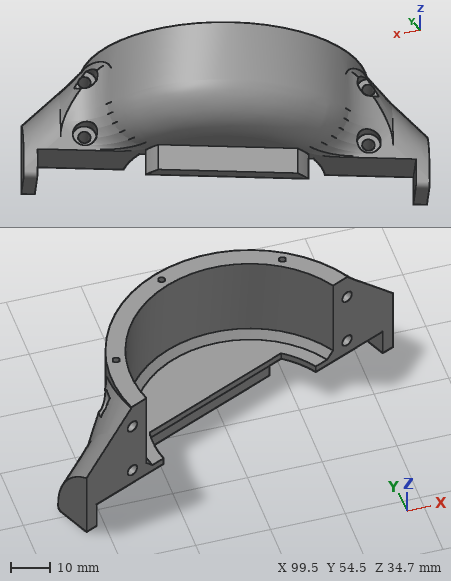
import cadquery as cq
import math

TURN = 24.0

BOWL_R = 37.0
CAVITY_R = 31.9
BOWL_HEIGHT = 27.0
FLOOR = 2.0
CAVITY_CHAMFER = 2.0
BOWL_ROUND = 10.8
CUT_V = 4.0

OPENING_R = 26.1
OPENING_V = CUT_V + 9.5
RIB_R = 26.5
RIB_V = CUT_V + 12.3
RIB_THICKNESS = 3.3
RIB_DROP = 7.0

ARM_END = 52.0
ARM_TOP = 36.5
ARM_ROOT = 30.0
ARM_V = CUT_V + 11.1
SHOULDER_Z = BOWL_HEIGHT - (ARM_END - ARM_TOP)
SHOULDER_R = 18.7
FOOT_THICKNESS = 3.5
FOOT_DROP = 7.65
FOOT_ROUND = 1.3

NECK_R = 15.4
NECK_ROOT = 15.0
NECK_STEPS = 6
NECK_OVERLAP = 1.0
CROWN_MID_V = 11.3
CROWN_MID_Z = 30.4
CROWN_EDGE_Z = 20.5

SCREW_D = 3.2
HEAD_D = 6.2
SCREW_U = 36.4
SCREW_HEIGHTS = (4.5, 20.0)
SCREW_SEAT_V = CUT_V + 9.2
PIN_D = 1.8
PIN_DEPTH = 6.0
PIN_CIRCLE_R = (BOWL_R + CAVITY_R) / 2
PIN_SPREAD = 55.0
PIN_ANGLES = (90.0 - PIN_SPREAD, 90.0, 90.0 + PIN_SPREAD)

REACH = 2 * ARM_END


def behind(v):
    """Everything on the +V side of a plane parallel to the cut face."""
    block = cq.Workplane("XY").box(2 * REACH, REACH, 2 * REACH, centered=(True, False, True))
    return block.translate((0, v, 0))


def bowl():
    body = cq.Workplane("XY").circle(BOWL_R).extrude(BOWL_HEIGHT)
    return body.faces("<Z").edges().fillet(BOWL_ROUND)


def cavity():
    body = cq.Workplane("XY").workplane(offset=FLOOR).circle(CAVITY_R).extrude(BOWL_HEIGHT)
    return body.faces("<Z").edges().chamfer(CAVITY_CHAMFER)


def floor_opening():
    disc = cq.Workplane("XY").circle(OPENING_R).extrude(FLOOR)
    return disc.cut(behind(OPENING_V))


def rib():
    """Slice of a disc hanging below the floor; it reaches up to the floor's top face."""
    disc = cq.Workplane("XY").workplane(offset=-RIB_DROP).circle(RIB_R).extrude(RIB_DROP + FLOOR)
    return disc.intersect(behind(RIB_V)).cut(behind(RIB_V + RIB_THICKNESS))


def diagonal_z(u):
    """Height of the 45 degree shoulder line on the cut face."""
    return SHOULDER_Z + ARM_END - u


def shoulder_section(u):
    """Arm section across U: a convex arc from the shoulder line to the back."""
    top_z = diagonal_z(u)
    sweep = math.acos(1 - (ARM_V - CUT_V) / SHOULDER_R)
    center_v = ARM_V - SHOULDER_R
    center_z = top_z - SHOULDER_R * math.sin(sweep)
    mid_v = center_v + SHOULDER_R * math.cos(sweep / 2)
    mid_z = center_z + SHOULDER_R * math.sin(sweep / 2)
    return (
        cq.Workplane("YZ", origin=(u, 0, 0))
        .moveTo(CUT_V, top_z)
        .threePointArc((mid_v, mid_z), (ARM_V, center_z))
        .lineTo(ARM_V, -REACH)
        .lineTo(CUT_V, -REACH)
        .close()
        .wires()
        .val()
    )


def arm():
    """Arm on the +U side: a plate with a foot, rounded along its 45 degree shoulder."""
    plate = (
        cq.Workplane("XZ", origin=(0, CUT_V, 0))
        .moveTo(ARM_ROOT, 0)
        .lineTo(ARM_ROOT, BOWL_HEIGHT)
        .lineTo(ARM_TOP, BOWL_HEIGHT)
        .lineTo(ARM_END, SHOULDER_Z)
        .lineTo(ARM_END, -FOOT_DROP)
        .lineTo(ARM_END - FOOT_THICKNESS, -FOOT_DROP)
        .lineTo(ARM_END - FOOT_THICKNESS, 0)
        .close()
        .extrude(CUT_V - ARM_V)
    )
    plate = plate.faces("<Z").edges(">Y").fillet(FOOT_ROUND)
    run = ARM_END - ARM_ROOT
    shoulder = cq.Solid.extrudeLinear(shoulder_section(ARM_END), [], cq.Vector(-run, 0, run))
    return plate.intersect(cq.Workplane(shoulder))


def neck_arc(bowl_r):
    """Centre of the concave neck arc and its tangent point on a bowl circle."""
    center_v = ARM_V + NECK_R
    center_u = math.sqrt((bowl_r + NECK_R) ** 2 - center_v**2)
    share = bowl_r / (bowl_r + NECK_R)
    return (center_u, center_v), (center_u * share, center_v * share)


NECK_END = neck_arc(BOWL_R)[0][0]


def neck_plan(bowl_r, z):
    """Plan outline of the neck at one height, where the bowl has the given radius."""
    (center_u, center_v), touch = neck_arc(bowl_r)
    half_turn = math.atan2(center_u, center_v) / 2
    mid = (center_u - NECK_R * math.sin(half_turn), center_v - NECK_R * math.cos(half_turn))
    return (
        cq.Workplane("XY", origin=(0, 0, z))
        .moveTo(NECK_END + NECK_OVERLAP, CUT_V)
        .lineTo(NECK_END + NECK_OVERLAP, ARM_V)
        .lineTo(center_u, ARM_V)
        .threePointArc(mid, touch)
        .lineTo(NECK_ROOT, CUT_V)
        .close()
        .wires()
        .val()
    )


def crown_section(u):
    """Section across U where the neck meets the bowl, highest at the cut face."""
    touch_u, touch_v = neck_arc(BOWL_R)[1]
    return (
        cq.Workplane("YZ", origin=(u, 0, 0))
        .moveTo(CUT_V, diagonal_z(touch_u))
        .threePointArc((CUT_V + CROWN_MID_V, CROWN_MID_Z), (touch_v, CROWN_EDGE_Z))
        .lineTo(touch_v, -REACH)
        .lineTo(CUT_V, -REACH)
        .close()
        .wires()
        .val()
    )


def neck():
    """Concave blend between bowl and arm; below the straight wall it follows the bowl's round."""
    sections = []
    for step in range(NECK_STEPS + 1):
        angle = math.pi / 2 * step / NECK_STEPS
        bowl_r = BOWL_R - BOWL_ROUND * (1 - math.sin(angle))
        sections.append(neck_plan(bowl_r, BOWL_ROUND * (1 - math.cos(angle))))
    skirt = cq.Workplane(cq.Solid.makeLoft(sections, True))
    rise = cq.Vector(0, 0, BOWL_HEIGHT - BOWL_ROUND)
    wall = cq.Workplane(cq.Solid.extrudeLinear(sections[-1], [], rise))
    touch_u = neck_arc(BOWL_R)[1][0]
    crown = cq.Solid.makeLoft(
        [shoulder_section(NECK_END), crown_section(touch_u), crown_section(NECK_ROOT)], True
    )
    return wall.union(skirt).intersect(cq.Workplane(crown))


def screw_hole(z):
    """Clearance hole from the cut face with a head pocket open to the back."""
    shank = cq.Workplane("XZ", origin=(SCREW_U, 0, z)).circle(SCREW_D / 2).extrude(-REACH)
    head = cq.Workplane("XZ", origin=(SCREW_U, SCREW_SEAT_V, z)).circle(HEAD_D / 2).extrude(-REACH)
    return shank.union(head)


def pin_holes():
    points = []
    for angle in PIN_ANGLES:
        turn = math.radians(angle)
        points.append((PIN_CIRCLE_R * math.cos(turn), PIN_CIRCLE_R * math.sin(turn)))
    top = cq.Workplane("XY").workplane(offset=BOWL_HEIGHT)
    return top.pushPoints(points).circle(PIN_D / 2).extrude(-PIN_DEPTH)


side = arm().union(neck())
body = bowl().union(side).union(side.mirror("YZ"))
body = body.intersect(behind(CUT_V)).cut(cavity()).cut(floor_opening()).union(rib())
for height in SCREW_HEIGHTS:
    hole = screw_hole(height)
    body = body.cut(hole).cut(hole.mirror("YZ"))
body = body.cut(pin_holes())

result = body.rotate((0, 0, 0), (0, 0, 1), TURN)